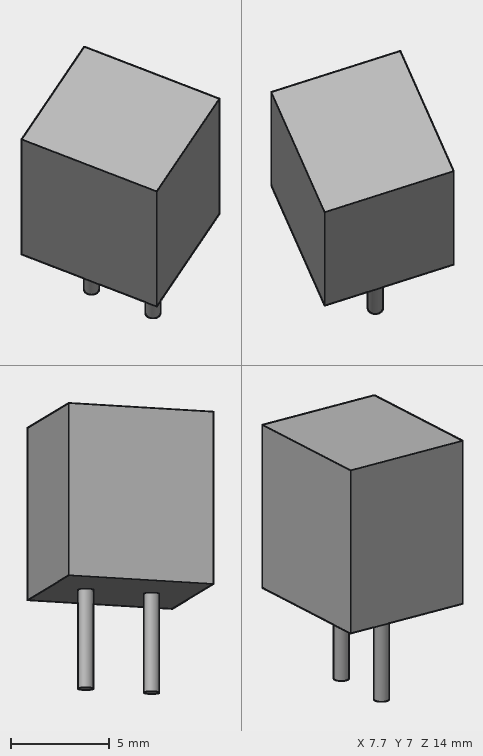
import cadquery as cq

width = 7.7
depth = 7.0
total_height = 14.0

pin_diameter = 0.8
pin_length = 5.1
pin_spacing = 3.5
pin_row_offset = 0.1

housing_height = total_height - pin_length


def make_housing():
    """Plain rectangular block with its bottom face at Z = 0."""
    return cq.Workplane("XY").box(width, depth, housing_height, centered=(True, True, False))


def make_pin(x):
    """Round lead hanging from the underside of the housing at the given X."""
    return cq.Workplane("XY").center(x, 0).circle(pin_diameter / 2).extrude(-pin_length)


housing = make_housing()
pins = [make_pin(pin_row_offset + side * pin_spacing / 2) for side in (-1, 1)]

result = cq.Compound.makeCompound([housing.val(), *[pin.val() for pin in pins]])